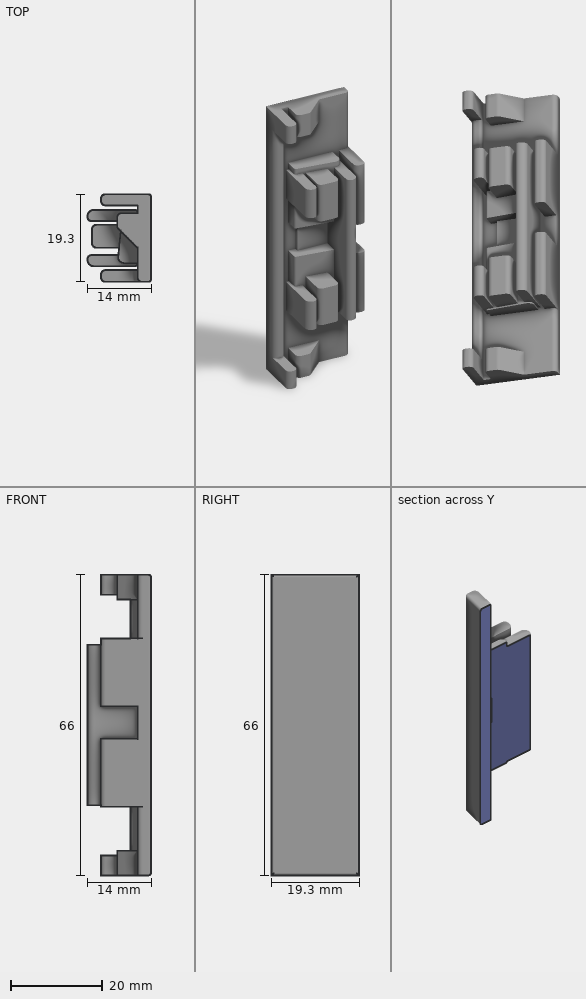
import cadquery as cq
import math

TOTAL_DEPTH = 14.0
WIDTH = 19.3
HEIGHT = 66.0
HALF_WIDTH = WIDTH / 2
HALF_HEIGHT = HEIGHT / 2

PLATE_THICKNESS = 3.0
PLATE_FACE = TOTAL_DEPTH - PLATE_THICKNESS
BACK_ROUND = 0.6
EDGE_ROUND = 1.05
NEAR_LIP_THICKNESS = 2.65
FAR_LIP_THICKNESS = 2.5
LIP_TIP = 3.0
LOW_LIP_TIP = 9.45
LOW_LIP_INNER_ROUND = 0.65
END_LIP_LENGTH = 4.4

HOOK_LENGTH = 5.5
HOOK_HEIGHT = 4.5
HOOK_SIDE = 5.5
HOOK_CREST = 2.3

BLOCK_CENTRE = 0.5
BLOCK_SPAN = 36.95
BLOCK_GAP = 7.1
BLOCK_LENGTH = (BLOCK_SPAN - BLOCK_GAP) / 2
BLOCK_BOTTOMS = [BLOCK_CENTRE - BLOCK_SPAN / 2, BLOCK_CENTRE + BLOCK_GAP / 2]
BLOCK_SIDE = 5.5
BLOCK_FACE = 6.6
BLOCK_SLOPE = 6.0
BLOCK_NEAR_ROUND = 1.3
BLOCK_FAR_ROUND = 0.4

FIN_HALF_SPAN = 17.6
FIN_OUTER = 6.2
FIN_THICKNESS = 2.5
FIN_INNER = FIN_OUTER - FIN_THICKNESS
FIN_INNER_ROUND = 1.0
FIN_OUTER_ROUND = 1.45
FIN_BASE_ROUND = 0.6
SHORT_FIN_LENGTH = 7.1
BOSS_TIP = 1.0
BOSS_LENGTH = 9.2
BOSS_WIDTH = 5.1
BOSS_CENTRE = 0.4
WEB_THICKNESS = 1.0


def box(x_range, y_range, z_range):
    """Box given by its lower and upper limits along each axis."""
    size = [high - low for low, high in (x_range, y_range, z_range)]
    corner = (x_range[0], y_range[0], z_range[0])
    return cq.Workplane("XY").box(*size, centered=False).translate(corner)


def round_upright(body, x, y, radius):
    """Round the vertical edges passing through the point (x, y)."""
    reach = 0.005
    picker = cq.selectors.BoxSelector(
        (x - reach, y - reach, -HEIGHT), (x + reach, y + reach, HEIGHT), boundingbox=False
    )
    return body.edges("|Z").edges(picker).fillet(radius)


def make_lip(tip, y_range, z_range, low_y_round, high_y_round):
    """Side lip running from its rounded tip into the plate."""
    lip = box((tip, PLATE_FACE + BACK_ROUND), y_range, z_range)
    lip = round_upright(lip, tip, y_range[0], low_y_round)
    return round_upright(lip, tip, y_range[1], high_y_round)


def make_hook(bottom):
    """Hook with one straight flank and one 45 degree flank."""
    crest_x = PLATE_FACE - HOOK_HEIGHT
    hook = (
        cq.Workplane("XY", origin=(0, 0, bottom))
        .moveTo(PLATE_FACE, HOOK_SIDE)
        .lineTo(crest_x, HOOK_SIDE)
        .lineTo(crest_x, HOOK_CREST)
        .lineTo(PLATE_FACE, HOOK_CREST - HOOK_HEIGHT)
        .close()
        .extrude(HOOK_LENGTH)
    )
    hook = round_upright(hook, crest_x, HOOK_SIDE, EDGE_ROUND)
    return round_upright(hook, crest_x, HOOK_CREST, EDGE_ROUND)


def make_plate():
    """Back plate with its lips and end hooks."""
    plate = box((PLATE_FACE, TOTAL_DEPTH), (-HALF_WIDTH, HALF_WIDTH), (-HALF_HEIGHT, HALF_HEIGHT))
    plate = plate.faces(">X").edges().fillet(BACK_ROUND)

    block_top = BLOCK_CENTRE + BLOCK_SPAN / 2
    for z_range in [(-HALF_HEIGHT, BLOCK_BOTTOMS[0]), (block_top, HALF_HEIGHT)]:
        corner_y = (-HALF_WIDTH, -HALF_WIDTH + EDGE_ROUND)
        corner_x = (PLATE_FACE, PLATE_FACE + EDGE_ROUND)
        waste = box(corner_x, corner_y, z_range)
        roller = (
            cq.Workplane("XY", origin=(corner_x[1], corner_y[1], z_range[0]))
            .circle(EDGE_ROUND)
            .extrude(z_range[1] - z_range[0])
        )
        plate = plate.cut(waste.cut(roller))

    far_y = (HALF_WIDTH - FAR_LIP_THICKNESS, HALF_WIDTH)
    full_z = (-HALF_HEIGHT + END_LIP_LENGTH, HALF_HEIGHT - END_LIP_LENGTH)
    plate = plate.union(make_lip(LOW_LIP_TIP, far_y, full_z, LOW_LIP_INNER_ROUND, EDGE_ROUND))
    for bottom in (-HALF_HEIGHT, HALF_HEIGHT - END_LIP_LENGTH):
        end_z = (bottom, bottom + END_LIP_LENGTH)
        lip = make_lip(LIP_TIP, far_y, end_z, EDGE_ROUND, EDGE_ROUND)
        plate = plate.union(lip)

    near_y = (-HALF_WIDTH, -HALF_WIDTH + NEAR_LIP_THICKNESS)
    for bottom in BLOCK_BOTTOMS:
        lip_z = (bottom, bottom + BLOCK_LENGTH)
        plate = plate.union(make_lip(LIP_TIP, near_y, lip_z, EDGE_ROUND, EDGE_ROUND))

    for bottom in (-HALF_HEIGHT, HALF_HEIGHT - HOOK_LENGTH):
        plate = plate.union(make_hook(bottom))
    return plate


def make_block(bottom):
    """Clip block whose front face slopes back towards +Y."""
    far_face = BLOCK_FACE + 2 * BLOCK_SIDE * math.tan(math.radians(BLOCK_SLOPE))
    block = (
        cq.Workplane("XY", origin=(0, 0, bottom))
        .moveTo(PLATE_FACE, -BLOCK_SIDE)
        .lineTo(BLOCK_FACE, -BLOCK_SIDE)
        .lineTo(far_face, BLOCK_SIDE)
        .lineTo(PLATE_FACE, BLOCK_SIDE)
        .close()
        .extrude(BLOCK_LENGTH)
    )
    block = round_upright(block, BLOCK_FACE, -BLOCK_SIDE, BLOCK_NEAR_ROUND)
    return round_upright(block, far_face, BLOCK_SIDE, BLOCK_FAR_ROUND)


def make_fin(side, z_range):
    """Fin on the +Y (side = 1) or -Y (side = -1) flank, rounded at tip and base."""
    inner_y = side * FIN_INNER
    outer_y = side * FIN_OUTER
    fin = box((0, PLATE_FACE), sorted((inner_y, outer_y)), z_range)
    fin = round_upright(fin, 0, inner_y, FIN_INNER_ROUND)
    fin = round_upright(fin, 0, outer_y, FIN_OUTER_ROUND)
    return fin.faces(">X").edges().fillet(FIN_BASE_ROUND)


def make_boss(z_range):
    """Rounded boss standing on a block."""
    low_y = BOSS_CENTRE - BOSS_WIDTH / 2
    high_y = BOSS_CENTRE + BOSS_WIDTH / 2
    boss = box((BOSS_TIP, PLATE_FACE), (low_y, high_y), z_range)
    return boss.faces("<X").edges("|Z").fillet(EDGE_ROUND)


def make_clip():
    """Clip resting on the plate: two blocks tied by a web and the long fin."""
    web_z = (BLOCK_BOTTOMS[0], BLOCK_BOTTOMS[0] + BLOCK_SPAN)
    clip = box((PLATE_FACE - WEB_THICKNESS, PLATE_FACE), (-FIN_INNER, FIN_INNER), web_z)
    for bottom in BLOCK_BOTTOMS:
        clip = clip.union(make_block(bottom))
    clip = clip.union(make_fin(-1, (-FIN_HALF_SPAN, FIN_HALF_SPAN)))

    lower_fin_z = (-FIN_HALF_SPAN, -FIN_HALF_SPAN + SHORT_FIN_LENGTH)
    upper_fin_z = (FIN_HALF_SPAN - SHORT_FIN_LENGTH, FIN_HALF_SPAN)
    for fin_z in (lower_fin_z, upper_fin_z):
        clip = clip.union(make_fin(1, fin_z))

    lower_boss_z = (-FIN_HALF_SPAN, -FIN_HALF_SPAN + BOSS_LENGTH)
    upper_boss_z = (FIN_HALF_SPAN - BOSS_LENGTH, FIN_HALF_SPAN)
    for boss_z in (lower_boss_z, upper_boss_z):
        clip = clip.union(make_boss(boss_z))
    return clip


plate = make_plate()
clip = make_clip()
result = cq.Compound.makeCompound([*plate.vals(), *clip.vals()])